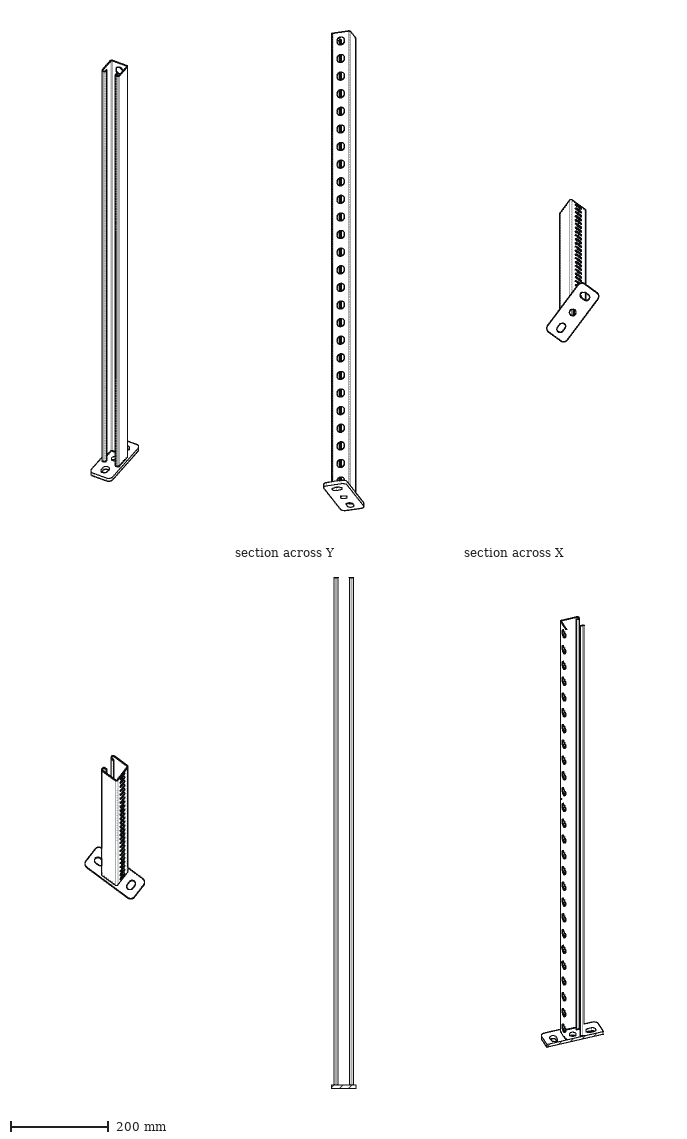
import cadquery as cq

PLATE_WIDTH = 50.0
PLATE_LENGTH = 125.0
PLATE_THICKNESS = 8.0
PLATE_CORNER_RADIUS = 9.0
CENTRE_HOLE_DIAMETER = 14.0

ANCHOR_SLOT_WIDTH = 14.0
ANCHOR_SLOT_LENGTH = 21.0
FRONT_SLOT_Y = -40.0
BACK_SLOT_Y = 42.0

TOTAL_HEIGHT = 1048.0
CHANNEL_HEIGHT = TOTAL_HEIGHT - PLATE_THICKNESS
CHANNEL_SIZE = 41.0
WALL = 2.0
BEND_RADIUS = 3.7
OPENING_WIDTH = 22.0
LIP_DEPTH = 8.0

WALL_SLOT_COUNT = 26
WALL_SLOT_PITCH = CHANNEL_HEIGHT / WALL_SLOT_COUNT
WALL_SLOT_WIDTH = 16.0
WALL_SLOT_LENGTH = 18.0

ALONG_X = 0
UPRIGHT = 90

HALF_SIZE = CHANNEL_SIZE / 2
HALF_OPENING = OPENING_WIDTH / 2


def anchor_slot(y, angle):
    """Cutter for one anchor slot through the plate."""
    return (
        cq.Workplane("XY", origin=(0, y, 0))
        .slot2D(ANCHOR_SLOT_LENGTH, ANCHOR_SLOT_WIDTH, angle)
        .extrude(PLATE_THICKNESS)
    )


def make_plate():
    """Rounded base plate with a round centre hole and two slots at right angles to each other."""
    plate = (
        cq.Workplane("XY")
        .box(PLATE_WIDTH, PLATE_LENGTH, PLATE_THICKNESS, centered=(True, True, False))
        .edges("|Z")
        .fillet(PLATE_CORNER_RADIUS)
        .faces(">Z")
        .workplane()
        .hole(CENTRE_HOLE_DIAMETER)
    )
    return plate.cut(anchor_slot(FRONT_SLOT_Y, UPRIGHT)).cut(anchor_slot(BACK_SLOT_Y, ALONG_X))


def sharp_channel():
    """C-shaped channel with inturned lips, all its bends still sharp."""
    lip_end_y = -HALF_SIZE + LIP_DEPTH
    inner = HALF_SIZE - WALL
    lip_back = HALF_OPENING + WALL
    right_half = [
        (HALF_SIZE, HALF_SIZE),
        (HALF_SIZE, -HALF_SIZE),
        (HALF_OPENING, -HALF_SIZE),
        (HALF_OPENING, lip_end_y),
        (lip_back, lip_end_y),
        (lip_back, -inner),
        (inner, -inner),
        (inner, inner),
    ]
    left_half = [(-x, y) for x, y in reversed(right_half)]
    return (
        cq.Workplane("XY", origin=(0, 0, PLATE_THICKNESS))
        .polyline(right_half + left_half)
        .close()
        .extrude(CHANNEL_HEIGHT)
    )


def round_upright_edge(solid, x, y, radius):
    """Fillet the upright edge that stands at (x, y)."""
    middle = PLATE_THICKNESS + CHANNEL_HEIGHT / 2
    nearest = cq.selectors.NearestToPointSelector((x, y, middle))
    return solid.edges("|Z").edges(nearest).fillet(radius)


def round_bends(channel):
    """Round each of the six bends outside and inside about one axis, keeping the wall thickness."""
    bends = [
        (HALF_SIZE, HALF_SIZE, -WALL, -WALL),
        (HALF_SIZE, -HALF_SIZE, -WALL, WALL),
        (HALF_OPENING, -HALF_SIZE, WALL, WALL),
    ]
    for side in (-1, 1):
        for x, y, step_x, step_y in bends:
            channel = round_upright_edge(channel, side * x, y, BEND_RADIUS)
            channel = round_upright_edge(channel, side * (x + step_x), y + step_y, BEND_RADIUS - WALL)
    return channel


def wall_slots():
    """Cutters for the column of upright slots through the back wall."""
    first_height = PLATE_THICKNESS + WALL_SLOT_PITCH / 2
    centres = [(0, first_height + i * WALL_SLOT_PITCH) for i in range(WALL_SLOT_COUNT)]
    return (
        cq.Workplane("XZ", origin=(0, HALF_SIZE, 0))
        .pushPoints(centres)
        .slot2D(WALL_SLOT_LENGTH, WALL_SLOT_WIDTH, UPRIGHT)
        .extrude(WALL)
    )


def make_channel():
    """Strut channel standing on the plate."""
    return round_bends(sharp_channel()).cut(wall_slots())


plate = make_plate()
channel = make_channel()
result = cq.Compound.makeCompound([plate.solids().val(), channel.solids().val()])